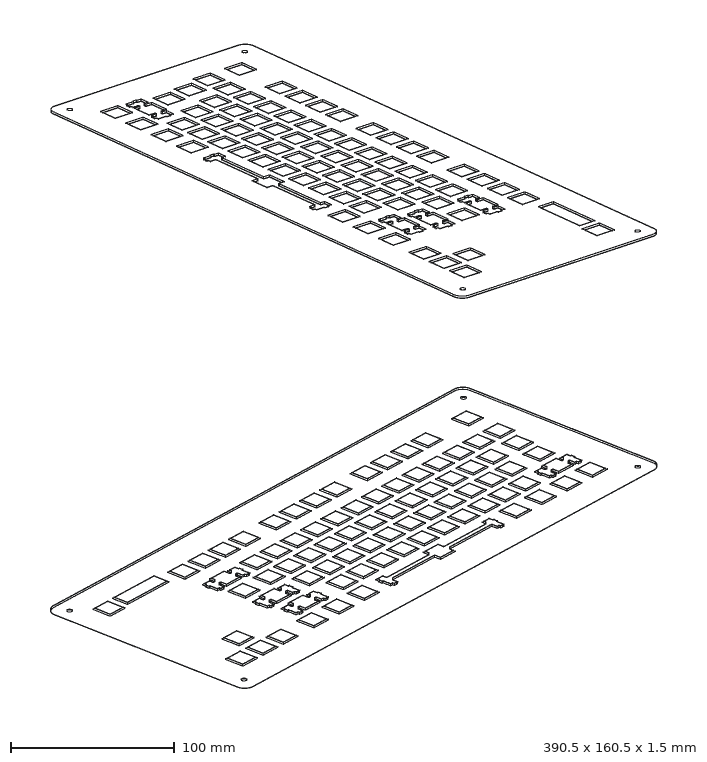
import cadquery as cq

LENGTH = 390.5
DEPTH = 160.5
THICKNESS = 1.5
CORNER_RADIUS = 6.5
SCREW_DIAMETER = 3.4
SCREW_INSET = 10.0

PITCH = LENGTH / 20.5
WEB = 5.0
SWITCH = PITCH - WEB
BOTTOM_MARGIN = 29.3
TOP_MARGIN = 29.5
SIDE_MARGIN = 22.3
KEYS_LEFT = -LENGTH / 2 + SIDE_MARGIN - WEB / 2
BOTTOM_ROW_Y = -DEPTH / 2 + BOTTOM_MARGIN
NUMBER_ROW_Y = BOTTOM_ROW_Y + 4 * PITCH
FUNCTION_ROW_Y = DEPTH / 2 - TOP_MARGIN

STAB_WIDTH = 6.5
STAB_TOP = 5.5
STAB_BOTTOM = 6.5
STAB_WALL = 1.6
STAB_OFFSET = SWITCH / 2 + STAB_WALL + STAB_WIDTH / 2
SPACE_STAB_OFFSET = 2.625 * PITCH
CHANNEL_HEIGHT = 4.5
TAB_WIDTH = 3.0
TAB_DEPTH = 1.33
NOTCH_DEPTH = 0.82
NOTCH_HEIGHT = 2.8

DISPLAY_LENGTH = 39.0
DISPLAY_HEIGHT = 12.0
DISPLAY_X = 136.2
DISPLAY_Y = 54.5
CORNER_KEY_X = 167.5
CORNER_KEY_Y = 53.5

ARROW_X = 146.0
ARROW_Y = BOTTOM_ROW_Y
UP_ARROW_STEP = 19.0

ROWS = [
    (FUNCTION_ROW_Y, [(0, 1, 1), (2, 1, 4), (6.5, 1, 4), (11, 1, 4)]),
    (NUMBER_ROW_Y, [(0, 1, 13), (13, 2, 1)]),
    (NUMBER_ROW_Y - PITCH, [(0, 1.5, 1), (1.5, 1, 12), (13.5, 1.5, 1)]),
    (NUMBER_ROW_Y - 2 * PITCH, [(0, 1.75, 1), (1.75, 1, 11), (12.75, 2.25, 1)]),
    (NUMBER_ROW_Y - 3 * PITCH, [(0, 2.25, 1), (2.25, 1, 10), (12.25, 2.75, 1)]),
    (BOTTOM_ROW_Y, [(0, 1.25, 4), (5, 6.25, 1), (11.25, 1.25, 3)]),
]
STAB_MIN_WIDTH = 2
SPACE_MIN_WIDTH = 6


def window(x, y, length, height):
    """Rectangular cutter through the plate, centred on (x, y)."""
    return cq.Workplane("XY").box(length, height, THICKNESS, (True, True, False)).translate((x, y, 0))


def stabilizer(x, y, offset):
    """Cutters for a pair of stabilizer slots and their wire channel."""
    slot_height = STAB_TOP + STAB_BOTTOM
    slot_y = y + (STAB_TOP - STAB_BOTTOM) / 2
    notch_y = y + (CHANNEL_HEIGHT - NOTCH_HEIGHT) / 2
    cutters = [window(x, y, 2 * offset, CHANNEL_HEIGHT)]
    for side in (-1, 1):
        slot_x = x + side * offset
        notch_x = slot_x + side * NOTCH_DEPTH / 2
        cutters.append(window(slot_x, slot_y, STAB_WIDTH, slot_height))
        cutters.append(window(slot_x, slot_y - TAB_DEPTH / 2, TAB_WIDTH, slot_height + TAB_DEPTH))
        cutters.append(window(notch_x, notch_y, STAB_WIDTH + NOTCH_DEPTH, NOTCH_HEIGHT))
    return cutters


def key(x, y, width):
    """Cutters for one key, stabilized when it is wide."""
    cutters = [window(x, y, SWITCH, SWITCH)]
    if width >= SPACE_MIN_WIDTH:
        cutters += stabilizer(x, y, SPACE_STAB_OFFSET)
    elif width >= STAB_MIN_WIDTH:
        cutters += stabilizer(x, y, STAB_OFFSET)
    return cutters


def main_keys():
    """Cutters for every key of the six main rows."""
    cutters = []
    for y, runs in ROWS:
        for start, width, count in runs:
            for index in range(count):
                x = KEYS_LEFT + (start + (index + 0.5) * width) * PITCH
                cutters += key(x, y, width)
    return cutters


def arrow_keys():
    """Cutters for the up arrow and the three keys below it."""
    cutters = key(ARROW_X, ARROW_Y + UP_ARROW_STEP, 1)
    for step in (-1, 0, 1):
        cutters += key(ARROW_X + step * PITCH, ARROW_Y, 1)
    return cutters


def plate():
    """Rounded plate with a screw hole in each corner."""
    return (
        cq.Workplane("XY")
        .box(LENGTH, DEPTH, THICKNESS, (True, True, False))
        .edges("|Z")
        .fillet(CORNER_RADIUS)
        .faces(">Z")
        .workplane()
        .rect(LENGTH - 2 * SCREW_INSET, DEPTH - 2 * SCREW_INSET, forConstruction=True)
        .vertices()
        .hole(SCREW_DIAMETER)
    )


openings = main_keys() + arrow_keys()
openings += key(CORNER_KEY_X, CORNER_KEY_Y, 1)
openings.append(window(DISPLAY_X, DISPLAY_Y, DISPLAY_LENGTH, DISPLAY_HEIGHT))

result = cq.Workplane(plate().val().cut(*[cutter.val() for cutter in openings]))